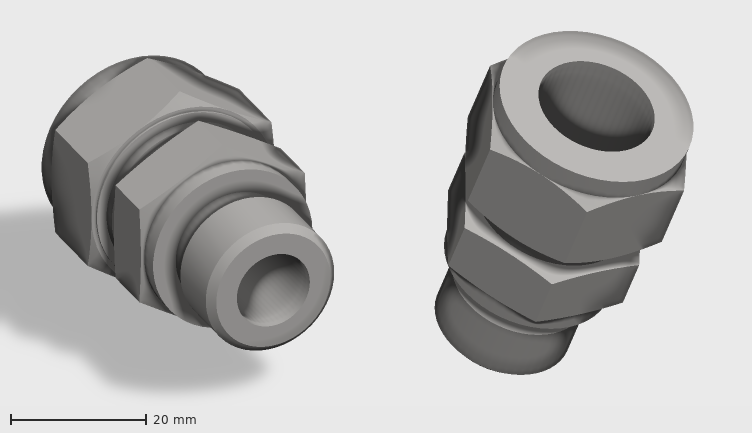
import cadquery as cq
import math


nut_hex_start = 3.5
nut_hex_end = 17.5
washer_end = 17.9
shoulder_end = 19.65
body_hex_start = 22.0
body_hex_end = 31.7
flange_end = 34.8
neck_end = 37.8
total_length = 49.0

nut_flats = 30.0
nut_collar_diameter = nut_flats
washer_diameter = 28.55
shoulder_diameter = 25.45
body_diameter = 23.8
body_hex_flats = 27.0
flange_diameter = 26.0
neck_diameter = 18.6
thread_diameter = 20.95
thread_chamfer = (thread_diameter - neck_diameter) / 2

nut_chamfer_angle = 30.0
body_chamfer_angle = 15.0

tube_bore_diameter = 18.0
tube_bore_depth = body_hex_start
through_bore_diameter = 11.9


def cylinder(start, end, diameter):
    """Round section along X between two stations."""
    return cq.Workplane("YZ", origin=(start, 0, 0)).circle(diameter / 2).extrude(end - start)


def chamfered_hexagon(start, end, flats, face_diameter, chamfer_angle):
    """Hexagon with flats facing +-Y, its corners turned off conically at both end faces."""
    corner_diameter = flats / math.cos(math.radians(30))
    corner_radius = corner_diameter / 2
    face_radius = face_diameter / 2
    chamfer_length = (corner_radius - face_radius) * math.tan(math.radians(chamfer_angle))
    prism = (
        cq.Workplane("YZ", origin=(start, 0, 0))
        .transformed(rotate=(0, 0, 90))
        .polygon(6, corner_diameter)
        .extrude(end - start)
    )
    turned_envelope = (
        cq.Workplane("XY")
        .moveTo(start, 0)
        .lineTo(start, face_radius)
        .lineTo(start + chamfer_length, corner_radius)
        .lineTo(end - chamfer_length, corner_radius)
        .lineTo(end, face_radius)
        .lineTo(end, 0)
        .close()
        .revolve(360, (0, 0, 0), (1, 0, 0))
    )
    return prism.intersect(turned_envelope)


nut = cylinder(0, nut_hex_start, nut_collar_diameter).union(
    chamfered_hexagon(nut_hex_start, nut_hex_end, nut_flats, nut_collar_diameter, nut_chamfer_angle)
)

steps = (
    cylinder(nut_hex_end, washer_end, washer_diameter)
    .union(cylinder(washer_end, shoulder_end, shoulder_diameter))
    .union(cylinder(shoulder_end, body_hex_start, body_diameter))
)

body = chamfered_hexagon(
    body_hex_start, body_hex_end, body_hex_flats, flange_diameter, body_chamfer_angle
).union(cylinder(body_hex_end, flange_end, flange_diameter))

neck = cylinder(flange_end, neck_end, neck_diameter)
thread = cylinder(neck_end, total_length, thread_diameter).edges().chamfer(thread_chamfer)

tube_bore = cylinder(0, tube_bore_depth, tube_bore_diameter)
through_bore = cylinder(0, total_length, through_bore_diameter)

result = nut.union(steps).union(body).union(neck).union(thread).cut(tube_bore).cut(through_bore)